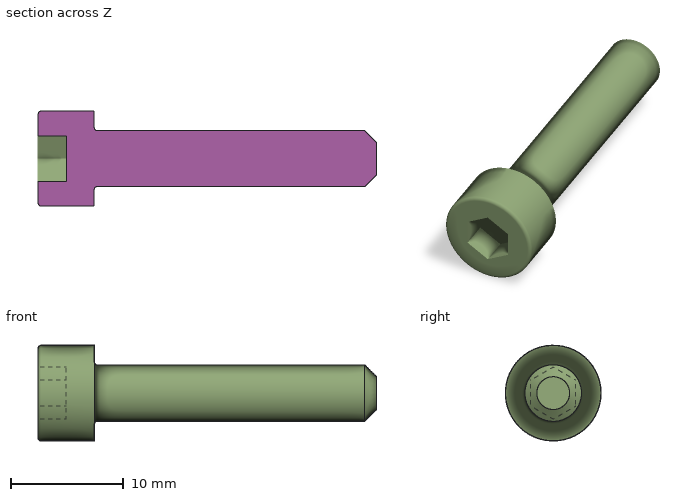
import cadquery as cq
import math

total_length = 30.0
head_diameter = 8.5
head_length = 5.0
head_edge_radius = 0.3
shank_diameter = 5.0
neck_fillet_radius = 0.25
tip_chamfer_length = 1.05
tip_chamfer_depth = 1.05
socket_width = 4.0
socket_depth = 2.5

shank_length = total_length - head_length


def cylinder_along_x(start, length, diameter):
    return cq.Workplane("YZ", origin=(start, 0, 0)).circle(diameter / 2).extrude(length)


head = cylinder_along_x(-head_length, head_length, head_diameter)
head = head.faces("<X").edges().fillet(head_edge_radius)

shank = cylinder_along_x(0, shank_length, shank_diameter)
shank = shank.faces(">X").edges().chamfer(tip_chamfer_length, tip_chamfer_depth)

neck_radius = shank_diameter / 2
neck_fillet = (
    cq.Workplane("XY")
    .moveTo(0, 0)
    .lineTo(0, neck_radius + neck_fillet_radius)
    .radiusArc((neck_fillet_radius, neck_radius), -neck_fillet_radius)
    .lineTo(neck_fillet_radius, 0)
    .close()
    .revolve(360, (0, 0, 0), (1, 0, 0))
)

socket_corner_diameter = socket_width / math.cos(math.pi / 6)
socket = (
    cq.Workplane("YZ", origin=(-head_length, 0, 0))
    .transformed(rotate=(0, 0, 90))
    .polygon(6, socket_corner_diameter)
    .extrude(socket_depth)
)

result = head.union(shank).union(neck_fillet).cut(socket)